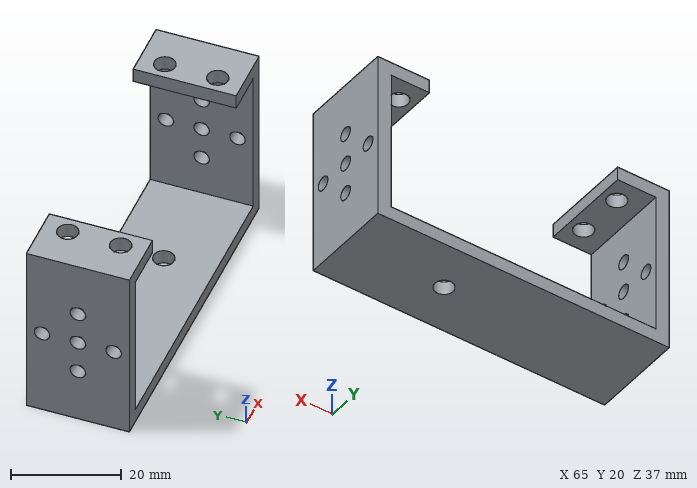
import cadquery as cq

length = 65.0
width = 20.0
height = 37.0
thickness = 3.0

lip_length = 11.5
lip_hole_diameter = 4.0
lip_hole_from_end = 8.2
lip_hole_spacing = 10.3

base_hole_diameter = 4.0
base_hole_from_end = 43.0

wall_hole_diameter = 3.0
wall_hole_pitch = 6.95


def bracket_body():
    """C-shaped strip, open at the top, centred on X and Y with its base at Z = 0."""
    body = cq.Workplane("XY").box(length, width, height, centered=(True, True, False))
    cavity = (
        cq.Workplane("XY")
        .workplane(offset=thickness)
        .box(length - 2 * thickness, width, height - 2 * thickness, centered=(True, True, False))
    )
    mouth = (
        cq.Workplane("XY")
        .workplane(offset=thickness)
        .box(length - 2 * lip_length, width, height - thickness, centered=(True, True, False))
    )
    return body.cut(cavity).cut(mouth)


def lip_holes():
    """Two holes through each lip, stopping short of the base."""
    x = length / 2 - lip_hole_from_end
    y = lip_hole_spacing / 2
    return (
        cq.Workplane("XY")
        .workplane(offset=height - thickness)
        .pushPoints([(-x, -y), (-x, y), (x, -y), (x, y)])
        .circle(lip_hole_diameter / 2)
        .extrude(thickness)
    )


def base_hole():
    return (
        cq.Workplane("XY")
        .center(base_hole_from_end - length / 2, 0)
        .circle(base_hole_diameter / 2)
        .extrude(thickness)
    )


def wall_holes():
    """Cross of holes at mid height, running through both side walls."""
    pitch = wall_hole_pitch
    return (
        cq.Workplane("YZ", origin=(-length / 2, 0, height / 2))
        .pushPoints([(0, 0), (-pitch, 0), (pitch, 0), (0, -pitch), (0, pitch)])
        .circle(wall_hole_diameter / 2)
        .extrude(length)
    )


result = bracket_body().cut(lip_holes()).cut(base_hole()).cut(wall_holes())